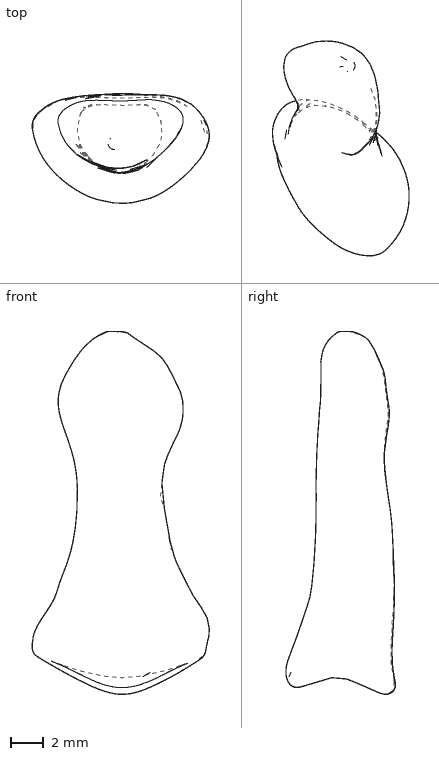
import cadquery as cq
import math


LENGTH = 22.07

FRONT_FULLNESS = 0.69
BACK_FULLNESS = 0.80

STATIONS = [
    (-0.6, -4.60, 4.05, -2.75, 3.80, 1.0, 0.5),
    (0.7, -5.00, 4.55, -3.25, 3.27, 1.0, 0.5),
    (1.8, -5.27, 4.95, -3.37, 2.99, 1.1, 0.5),
    (3.5, -5.40, 5.27, -2.76, 3.00, 1.2, 0.6),
    (4.4, -5.02, 5.26, -2.45, 3.05, 1.4, 0.8),
    (5.6, -4.25, 4.60, -2.05, 3.12, 1.5, 1.2),
    (7.2, -3.65, 3.70, -1.78, 3.14, 1.4, 1.2),
    (9.5, -2.95, 2.90, -1.62, 3.08, 1.2, 1.1),
    (12.0, -2.72, 2.48, -1.59, 2.82, 1.1, 1.1),
    (14.0, -2.88, 2.58, -1.56, 2.56, 1.2, 1.2),
    (15.6, -3.34, 3.22, -1.50, 2.62, 1.7, 1.7),
    (17.3, -3.85, 3.60, -1.38, 2.80, 1.6, 2.1),
    (18.3, -3.85, 3.47, -1.30, 2.64, 1.4, 2.0),
    (19.6, -3.35, 2.93, -1.30, 2.47, 1.0, 1.5),
    (20.5, -2.80, 2.38, -1.27, 2.15, 0.7, 1.0),
    (21.5, -1.90, 1.00, -0.85, 1.65, 0.4, 0.5),
    (21.9, -1.30, 0.45, -0.45, 1.10, 0.3, 0.3),
    (LENGTH, -0.85, -0.05, -0.15, 0.55, 0.2, 0.2),
]

HOLLOW_DEPTH = 1.0
HOLLOW_Y = -0.3
HOLLOW_SPREAD_X = 3.2
HOLLOW_SPREAD_Y = 2.0
MIDDLE_LIP_Z = 0.01
LIP_SLOPE = -0.05
RISE_HEIGHT = 0.9
RISE_WIDTH = 1.5
JOINT_REACH_X = 6.5
JOINT_REACH_Y = 4.5
JOINT_STEPS = 24
JOINT_TOLERANCE = 0.02
TRIM_DEPTH = 6.0
LIP_RADIUS = 0.6


def shoulder(middle, edge_y, end_x, end_y, fullness):
    """Point of a quarter outline between its side end and its front or back extreme."""
    x = middle + fullness * (end_x - middle)
    y = end_y + fullness * (edge_y - end_y)
    return (x, y)


def cross_section(height, left, right, front, back, left_y, right_y):
    """Closed curve through the four extremes and one shoulder point per quarter."""
    middle = (left + right) / 2
    outline = [
        (left, left_y),
        shoulder(middle, front, left, left_y, FRONT_FULLNESS),
        (middle, front),
        shoulder(middle, front, right, right_y, FRONT_FULLNESS),
        (right, right_y),
        shoulder(middle, back, right, right_y, BACK_FULLNESS),
        (middle, back),
        shoulder(middle, back, left, left_y, BACK_FULLNESS),
    ]
    points = [cq.Vector(x, y, height) for x, y in outline]
    return cq.Wire.assembleEdges([cq.Edge.makeSpline(points, periodic=True)])


def joint_height(x, y):
    """Height of the joint face above a point of the XY plane."""
    lip = MIDDLE_LIP_Z + LIP_SLOPE * y
    spread = (x / HOLLOW_SPREAD_X) ** 2 + ((y - HOLLOW_Y) / HOLLOW_SPREAD_Y) ** 2
    hollow = HOLLOW_DEPTH * math.exp(-spread)
    rise = RISE_HEIGHT * (math.hypot(1, x / RISE_WIDTH) - 1)
    return lip + hollow + rise


def joint_trim():
    """Block below the joint face, used to trim the base."""
    grid = []
    for i in range(JOINT_STEPS + 1):
        x = JOINT_REACH_X * (2 * i / JOINT_STEPS - 1)
        row = []
        for j in range(JOINT_STEPS + 1):
            y = JOINT_REACH_Y * (2 * j / JOINT_STEPS - 1)
            row.append(cq.Vector(x, y, joint_height(x, y)))
        grid.append(row)
    face = cq.Face.makeSplineApprox(grid, tol=JOINT_TOLERANCE)
    return cq.Solid.extrudeLinear(face, cq.Vector(0, 0, -TRIM_DEPTH))


def bone_body():
    """Smooth loft through all cross-sections."""
    return cq.Solid.makeLoft([cross_section(*station) for station in STATIONS])


body = cq.Workplane("XY").add(bone_body())
trimmed_body = body.cut(cq.Workplane("XY").add(joint_trim()))
result = trimmed_body.faces("<Z").edges().fillet(LIP_RADIUS)